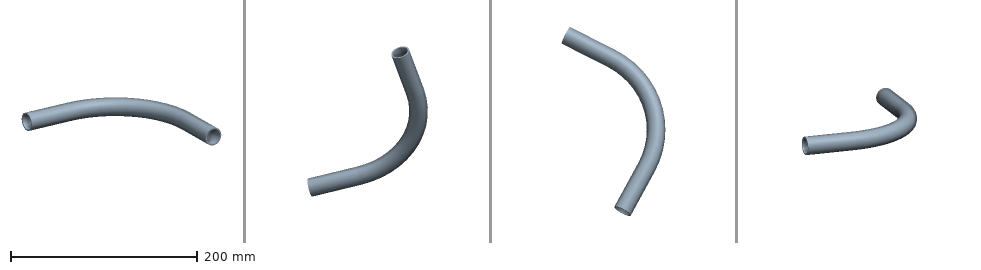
import cadquery as cq
import math

overall_length = 155.0
outer_diameter = 20.0
wall_thickness = 1.5
straight_length = 55.0

outer_radius = outer_diameter / 2
inner_radius = outer_radius - wall_thickness
bend_radius = overall_length - straight_length - outer_radius

bend_midpoint = (
    bend_radius * (1 - math.cos(math.radians(45))),
    bend_radius * math.sin(math.radians(45)),
)
bend_end = (bend_radius, bend_radius)
centreline = (
    cq.Workplane("XY")
    .moveTo(0, -straight_length)
    .lineTo(0, 0)
    .threePointArc(bend_midpoint, bend_end)
    .lineTo(bend_radius + straight_length, bend_radius)
)

result = (
    cq.Workplane("XZ", origin=(0, -straight_length, 0))
    .circle(outer_radius)
    .circle(inner_radius)
    .sweep(centreline)
)